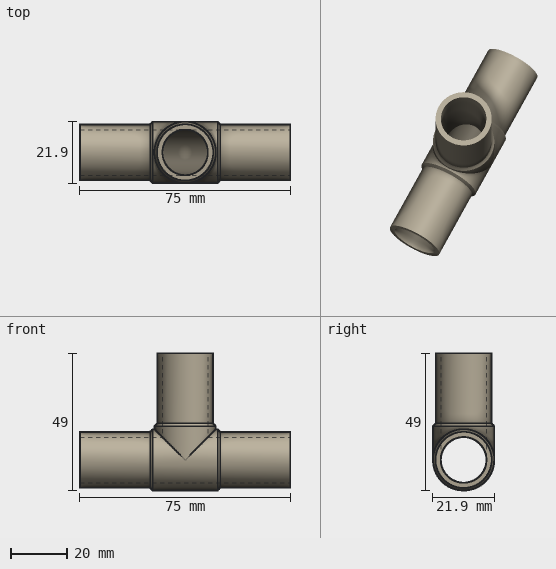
import cadquery as cq

pipe_diameter = 20.0
bore_diameter = 16.2
body_diameter = 21.9
run_length = 75.0
spigot_length = 25.0
branch_height = 38.0

body_length = run_length - 2 * spigot_length
branch_body_height = branch_height - spigot_length
chamfer_size = (body_diameter - pipe_diameter) / 2


def run_cylinder(diameter, length):
    """Cylinder along X, centred on the origin."""
    start = cq.Workplane("YZ").workplane(offset=-length / 2)
    return start.circle(diameter / 2).extrude(length)


def branch_cylinder(diameter, height):
    """Cylinder rising along +Z from the run axis."""
    return cq.Workplane("XY").circle(diameter / 2).extrude(height)


def make_body():
    """Thicker middle of the tee, chamfered where each pipe leaves it."""
    run_body = run_cylinder(body_diameter, body_length).faces("<X or >X").chamfer(chamfer_size)
    branch_body = branch_cylinder(body_diameter, branch_body_height).faces(">Z").chamfer(chamfer_size)
    return run_body.union(branch_body)


def make_pipes():
    """Plain outer pipes, still solid."""
    return run_cylinder(pipe_diameter, run_length).union(branch_cylinder(pipe_diameter, branch_height))


def make_bores():
    """Through bore of the run joined by the bore of the branch."""
    return run_cylinder(bore_diameter, run_length).union(branch_cylinder(bore_diameter, branch_height))


result = make_body().union(make_pipes()).cut(make_bores())